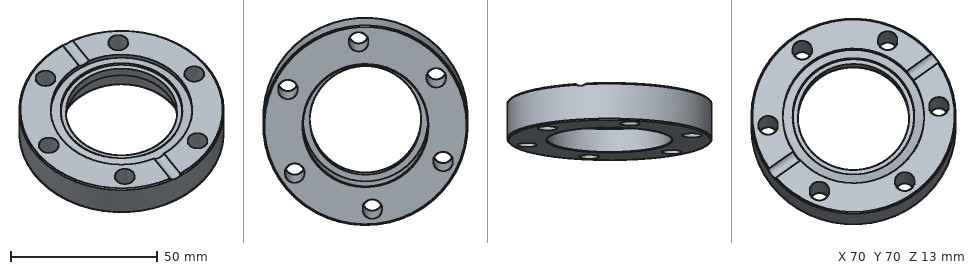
import cadquery as cq
import math

outer_diameter = 70.0
thickness = 13.0
edge_chamfer = 0.5

bore_diameter = 38.0
back_bore_diameter = 42.6
back_bore_depth = 8.1
back_bore_chamfer = 0.3

recess_diameter = 48.3
recess_depth = 1.75
knife_diameter = 41.7
knife_slope = math.radians(20)
land_diameter = 41.3
land_depth = 1.25

bolt_count = 6
bolt_circle_diameter = 58.7
bolt_hole_diameter = 6.7

groove_width = 4.05
groove_depth = 0.85


def make_body():
    """Chamfered disc standing on the XY plane."""
    disc = cq.Workplane("XY").circle(outer_diameter / 2).extrude(thickness)
    return disc.edges().chamfer(edge_chamfer)


def make_bore_and_recess():
    """Revolved void: both bore steps, the inner land and the knife-edge recess."""
    recess_radius = recess_diameter / 2
    knife_radius = knife_diameter / 2
    recess_floor = thickness - recess_depth
    knife_tip = recess_floor + (recess_radius - knife_radius) * math.tan(knife_slope)
    land = thickness - land_depth
    profile = [
        (0, 0),
        (back_bore_diameter / 2 + back_bore_chamfer, 0),
        (back_bore_diameter / 2, back_bore_chamfer),
        (back_bore_diameter / 2, back_bore_depth),
        (bore_diameter / 2, back_bore_depth),
        (bore_diameter / 2, land),
        (land_diameter / 2, land),
        (knife_radius, knife_tip),
        (recess_radius, recess_floor),
        (recess_radius, thickness),
        (0, thickness),
    ]
    return cq.Workplane("XZ").polyline(profile).close().revolve(360, (0, 0), (0, 1))


def make_bolt_holes():
    """Through holes evenly spaced on the bolt circle, the first on the +Y axis."""
    return (
        cq.Workplane("XY")
        .polarArray(bolt_circle_diameter / 2, 90, 360, bolt_count)
        .circle(bolt_hole_diameter / 2)
        .extrude(thickness)
    )


def make_grooves():
    """Shallow channels along X, from the recess wall out through the rim on both sides."""
    half_width = groove_width / 2
    groove_radius = (half_width**2 + groove_depth**2) / (2 * groove_depth)
    axis_height = thickness - groove_depth + groove_radius
    channel = (
        cq.Workplane("YZ")
        .center(0, axis_height)
        .circle(groove_radius)
        .extrude(outer_diameter / 2, both=True)
    )
    recess_core = cq.Workplane("XY").circle(recess_diameter / 2).extrude(axis_height + groove_radius)
    return channel.cut(recess_core)


result = (
    make_body()
    .cut(make_bore_and_recess())
    .cut(make_bolt_holes())
    .cut(make_grooves())
)